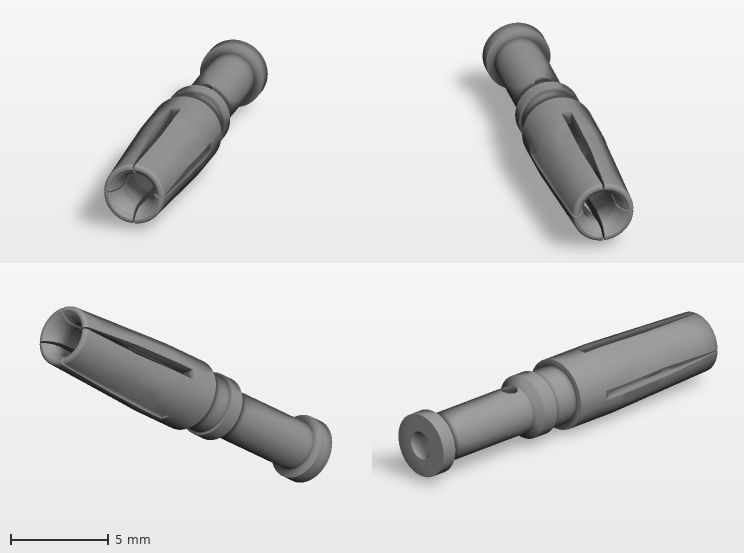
import cadquery as cq
import math


mouth_edge_y = 0.18
slot_bend_y = 4.0
taper_start_y = 7.0
slot_floor_y = 8.2
barrel_end_y = 10.0
neck_end_y = 11.5
collar_end_y = 12.35
flange_start_y = 18.5
flange_rim_y = 18.67
overall_length = 19.5

lip_radius = 1.42
mouth_edge_radius = 1.61
barrel_radius = 1.9
neck_radius = 1.55
collar_radius = 1.7
stem_radius = 1.3

lead_in_radius = 1.36
lead_in_depth = 0.18
flare_radius = 1.17
throat_radius = 0.9
throat_y = 1.0
bore_radius = 1.25
drill_tip_angle = 118

slot_width = 0.53
slot_mouth_width = 0.1

sight_hole_diameter = 0.9
sight_hole_y = 13.3
wire_bore_radius = 0.75
wire_bore_end_y = collar_end_y


def contact_body():
    """Turned outside shape with a rounded mouth edge."""
    collar_chamfer = collar_radius - stem_radius
    round_middle = (
        lip_radius + (mouth_edge_radius - lip_radius) * math.sin(math.pi / 4),
        mouth_edge_y * (1 - math.cos(math.pi / 4)),
    )
    outline = [
        (barrel_radius, taper_start_y),
        (barrel_radius, barrel_end_y),
        (neck_radius, barrel_end_y),
        (neck_radius, neck_end_y),
        (collar_radius, neck_end_y),
        (collar_radius, collar_end_y),
        (stem_radius, collar_end_y + collar_chamfer),
        (stem_radius, flange_start_y),
        (collar_radius, flange_rim_y),
        (collar_radius, overall_length),
        (0, overall_length),
    ]
    profile = (
        cq.Workplane("XY")
        .lineTo(lip_radius, 0)
        .threePointArc(round_middle, (mouth_edge_radius, mouth_edge_y))
        .polyline(outline, includeCurrent=True)
        .close()
    )
    return profile.revolve(360, (0, 0), (0, 1))


def throat_arc_middle(end):
    """Middle of the arc that leaves the throat parallel to Y and finishes at end."""
    rise = end[0] - throat_radius
    run = end[1] - throat_y
    arc_radius = (rise**2 + run**2) / (2 * rise)
    half_angle = math.asin(run / arc_radius) / 2
    return (
        throat_radius + arc_radius * (1 - math.cos(half_angle)),
        throat_y + arc_radius * math.sin(half_angle),
    )


def socket_bore():
    """Blind bore from the mouth, narrowest at a rounded throat."""
    tip_depth = bore_radius / math.tan(math.radians(drill_tip_angle / 2))
    throat = (throat_radius, throat_y)
    flare_start = (flare_radius, lead_in_depth)
    bore_start = (bore_radius, slot_bend_y)
    profile = (
        cq.Workplane("XY")
        .lineTo(lead_in_radius, 0)
        .lineTo(*flare_start)
        .threePointArc(throat_arc_middle(flare_start), throat)
        .threePointArc(throat_arc_middle(bore_start), bore_start)
        .lineTo(bore_radius, slot_floor_y)
        .lineTo(0, slot_floor_y + tip_depth)
        .close()
    )
    return profile.revolve(360, (0, 0), (0, 1))


def spring_slot():
    """Slot through the whole socket, narrowing from the bend to the mouth."""
    outline = [
        (-slot_mouth_width / 2, 0),
        (slot_mouth_width / 2, 0),
        (slot_width / 2, slot_bend_y),
        (slot_width / 2, slot_floor_y),
        (-slot_width / 2, slot_floor_y),
        (-slot_width / 2, slot_bend_y),
    ]
    return cq.Workplane("XY").polyline(outline).close().extrude(barrel_radius, both=True)


def wire_bore():
    """Blind crimp bore from the flange end to the collar."""
    return (
        cq.Workplane("XZ", origin=(0, overall_length, 0))
        .circle(wire_bore_radius)
        .extrude(overall_length - wire_bore_end_y)
    )


def sight_hole():
    """Round hole from the axis up through the wall of the stem."""
    return (
        cq.Workplane("XY")
        .center(0, sight_hole_y)
        .circle(sight_hole_diameter / 2)
        .extrude(barrel_radius)
    )


result = contact_body().cut(socket_bore())
for turn in (0, 90):
    result = result.cut(spring_slot().rotate((0, 0, 0), (0, 1, 0), turn))
result = result.cut(wire_bore()).cut(sight_hole())